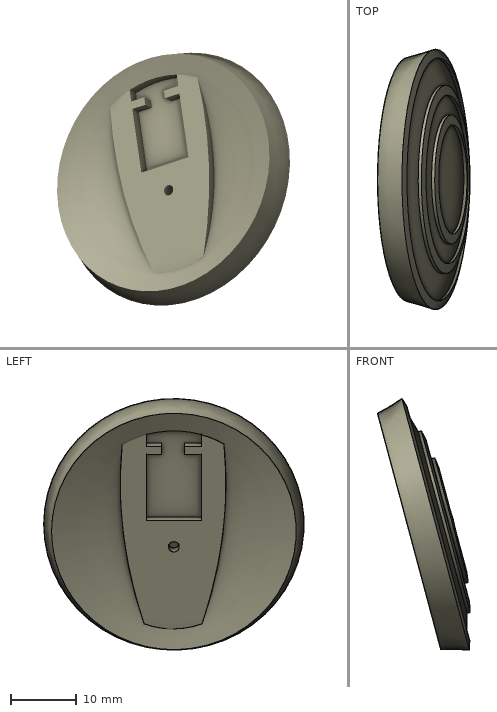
import cadquery as cq
import math


TILT = 15.0

RIM_RADIUS = 19.93
BACK_RADIUS = 18.72
BACK_DEPTH = 4.3

DOME_RADIUS = 62.0
DOME_RISE = 2.7
RIDGE_HEIGHT = 0.5
RIM_RIDGE_INNER = 18.6
RIDGES = [(14.4, 12.9), (9.88, 8.35)]

DISH_RADIUS = 58.7
PAD_OFFSET = 0.12
PAD_INSET = 0.93
PAD_TOP = (7.78, 13.6)
PAD_MIDDLE = (7.76, 0.6)
PAD_BOTTOM = (4.43, -14.89)

POCKET_HALF_WIDTH = 4.2
POCKET_BOTTOM = 1.5
POCKET_DEPTH = 2.0
TOOTH_BOTTOM = 11.98
TOOTH_TOP = 13.23
TOOTH_GAP = 3.5
HOLE_DIAMETER = 1.62
HOLE_Y = -2.68
HOLE_DEPTH = 2.4

BACK_Z = -BACK_DEPTH
PAD_Z = BACK_Z + PAD_INSET
DISH_CENTER_Z = BACK_Z - math.sqrt(DISH_RADIUS**2 - BACK_RADIUS**2)
PAD_END_RADIUS = math.sqrt(DISH_RADIUS**2 - (PAD_Z - DISH_CENTER_Z)**2)


def dome_z(radius, lift=0.0):
    """Height of the dome, raised by lift, at a distance from the axis."""
    return DOME_RISE + lift - DOME_RADIUS + math.sqrt(DOME_RADIUS**2 - radius**2)


def dome_arc(profile, outer, inner, lift=0.0):
    """Follow the dome inwards from the outer to the inner radius."""
    middle = (outer + inner) / 2
    return profile.threePointArc((middle, dome_z(middle, lift)), (inner, dome_z(inner, lift)))


def stepped_disc():
    """Solid of revolution with the tapered flank and the stepped front."""
    profile = cq.Workplane("XZ").moveTo(0, BACK_Z).lineTo(BACK_RADIUS, BACK_Z)
    profile = profile.lineTo(RIM_RADIUS, dome_z(RIM_RADIUS, RIDGE_HEIGHT))
    profile = dome_arc(profile, RIM_RADIUS, RIM_RIDGE_INNER, RIDGE_HEIGHT)
    groove_start = RIM_RIDGE_INNER
    for outer, inner in RIDGES:
        profile = profile.lineTo(groove_start, dome_z(groove_start))
        profile = dome_arc(profile, groove_start, outer)
        profile = profile.lineTo(outer, dome_z(outer, RIDGE_HEIGHT))
        profile = dome_arc(profile, outer, inner, RIDGE_HEIGHT)
        groove_start = inner
    profile = profile.lineTo(groove_start, dome_z(groove_start))
    profile = dome_arc(profile, groove_start, 0)
    return profile.close().revolve(360, (0, 0, 0), (0, 1, 0))


def pad_keep():
    """Prism from the pad face into the disc, left out of the hollowed dish."""
    top_x, top_y = PAD_TOP
    middle_x, middle_y = PAD_MIDDLE
    low_x, low_y = PAD_BOTTOM
    outline = (
        cq.Workplane("XY", origin=(0, 0, PAD_Z))
        .moveTo(top_x, top_y)
        .threePointArc(PAD_MIDDLE, PAD_BOTTOM)
        .threePointArc((0, -PAD_END_RADIUS), (-low_x, low_y))
        .threePointArc((-middle_x, middle_y), (-top_x, top_y))
        .threePointArc((0, PAD_END_RADIUS), PAD_TOP)
        .close()
    )
    return outline.extrude(BACK_DEPTH).translate((PAD_OFFSET, 0, 0))


def dish():
    """Spherical hollow of the back, leaving the pad standing."""
    ball = cq.Workplane("XY").sphere(DISH_RADIUS).translate((0, 0, DISH_CENTER_Z))
    return ball.cut(pad_keep())


def pocket():
    """Rectangular pocket running up to the pad end, with two flush teeth."""
    pad_face = cq.Workplane("XY", origin=(0, 0, PAD_Z))
    length = PAD_END_RADIUS - POCKET_BOTTOM
    block = (
        pad_face.center(0, POCKET_BOTTOM + length / 2)
        .rect(2 * POCKET_HALF_WIDTH, length)
        .extrude(POCKET_DEPTH)
    )
    block = block.intersect(pad_face.circle(PAD_END_RADIUS).extrude(POCKET_DEPTH))
    tooth_row = pad_face.center(0, (TOOTH_TOP + TOOTH_BOTTOM) / 2)
    tooth_width = TOOTH_TOP - TOOTH_BOTTOM
    teeth = tooth_row.rect(2 * POCKET_HALF_WIDTH, tooth_width).extrude(POCKET_DEPTH)
    gap = tooth_row.center(PAD_OFFSET, 0).rect(TOOTH_GAP, tooth_width).extrude(POCKET_DEPTH)
    return block.cut(teeth.cut(gap))


def pin_hole():
    """Small blind hole below the pocket."""
    pad_face = cq.Workplane("XY", origin=(0, HOLE_Y, PAD_Z))
    return pad_face.circle(HOLE_DIAMETER / 2).extrude(HOLE_DEPTH)


disc = stepped_disc().cut(dish()).cut(pocket()).cut(pin_hole())

upright = disc.rotate((0, 0, 0), (1, 1, 1), 120)
result = upright.rotate((0, 0, 0), (0, 1, 0), -TILT)